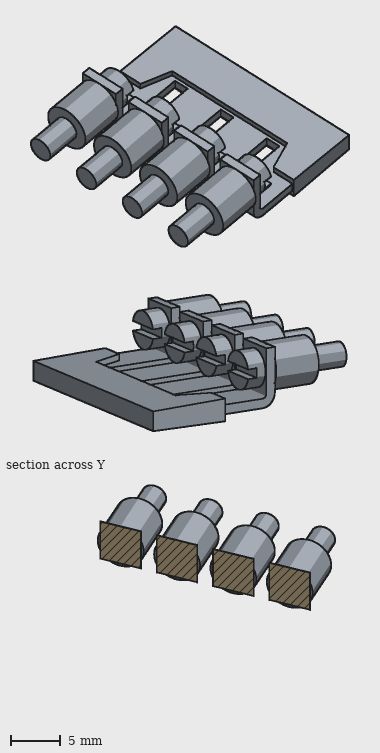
import cadquery as cq
import math

overall_width = 23.3
overall_length = 23.45
overall_height = 6.87

screw_count = 4
sleeve_diameter = 5.0
sleeve_length = 5.0
head_diameter = 4.0
head_length = 2.0
driver_slot_width = 1.0
driver_slot_depth = 1.0
pin_diameter = 2.6
pin_length = 4.0

sheet_thickness = 1.0
tab_width = 4.43
bend_inner_radius = 0.5
comb_gap_end = 5.4
comb_embedment = 2.35

housing_width = 23.1
housing_depth = 8.5
housing_front_thickness = 2.37
housing_draft = 1.0
notch_floor = 5.02
notch_floor_width = 15.3
notch_mouth_width = 17.7

pitch = (overall_width - sleeve_diameter) / (screw_count - 1)
screw_xs = [(i - (screw_count - 1) / 2) * pitch for i in range(screw_count)]
axis_z = overall_height - sleeve_diameter / 2
pin_tip_y = -overall_length
sleeve_front_y = pin_tip_y + pin_length
tab_front_y = sleeve_front_y + sleeve_length
tab_back_y = tab_front_y + sheet_thickness
head_back_y = tab_back_y + head_length
mid_z = housing_front_thickness / 2
sheet_bottom_z = mid_z - sheet_thickness / 2
sheet_top_z = mid_z + sheet_thickness / 2
sheet_back_y = comb_embedment - notch_floor


def make_housing():
    """Wedge-shaped housing with the notch cut through its front edge."""
    taper = housing_depth * math.tan(math.radians(housing_draft))
    wedge = (
        cq.Workplane("YZ")
        .moveTo(-housing_depth, 0)
        .lineTo(0, taper)
        .lineTo(0, housing_front_thickness - taper)
        .lineTo(-housing_depth, housing_front_thickness)
        .close()
        .extrude(housing_width / 2, both=True)
    )
    notch = (
        cq.Workplane("XY")
        .moveTo(-notch_mouth_width / 2, -housing_depth)
        .lineTo(-notch_floor_width / 2, -notch_floor)
        .lineTo(notch_floor_width / 2, -notch_floor)
        .lineTo(notch_mouth_width / 2, -housing_depth)
        .close()
        .extrude(housing_front_thickness)
    )
    return wedge.cut(notch)


def make_comb():
    """L-bent sheet, split into tabs by gaps that stop short of the housing."""
    comb_width = (screw_count - 1) * pitch + tab_width
    bend_outer_radius = bend_inner_radius + sheet_thickness
    bend_y = tab_front_y + bend_outer_radius
    bend_z = sheet_bottom_z + bend_outer_radius
    diagonal = math.sqrt(0.5)
    comb = (
        cq.Workplane("YZ")
        .moveTo(sheet_back_y, sheet_bottom_z)
        .lineTo(bend_y, sheet_bottom_z)
        .threePointArc(
            (bend_y - bend_outer_radius * diagonal, bend_z - bend_outer_radius * diagonal),
            (tab_front_y, bend_z),
        )
        .lineTo(tab_front_y, overall_height)
        .lineTo(tab_back_y, overall_height)
        .lineTo(tab_back_y, bend_z)
        .threePointArc(
            (bend_y - bend_inner_radius * diagonal, bend_z - bend_inner_radius * diagonal),
            (bend_y, sheet_top_z),
        )
        .lineTo(sheet_back_y, sheet_top_z)
        .close()
        .extrude(comb_width / 2, both=True)
    )
    gap_width = pitch - tab_width
    gap_length = -comb_gap_end - tab_front_y
    for left_x, right_x in zip(screw_xs, screw_xs[1:]):
        gap = (
            cq.Workplane("XY")
            .box(gap_width, gap_length, overall_height, centered=(True, False, False))
            .translate(((left_x + right_x) / 2, tab_front_y, 0))
        )
        comb = comb.cut(gap)
    return comb


def make_rod(x, front_y, back_y, diameter):
    """Round bar along Y on the screw axis."""
    return (
        cq.Workplane("XZ", origin=(x, back_y, axis_z))
        .circle(diameter / 2)
        .extrude(back_y - front_y)
    )


def make_screw(x):
    """Pin and sleeve in front of the tab, slotted head behind it."""
    pin = make_rod(x, pin_tip_y, sleeve_front_y, pin_diameter)
    sleeve = make_rod(x, sleeve_front_y, tab_front_y, sleeve_diameter)
    head = make_rod(x, tab_back_y, head_back_y, head_diameter)
    slot = (
        cq.Workplane("XY")
        .box(head_diameter, driver_slot_depth, driver_slot_width)
        .translate((x, head_back_y - driver_slot_depth / 2, axis_z))
    )
    return pin.union(sleeve).union(head.cut(slot))


result = make_housing().union(make_comb())
for screw_x in screw_xs:
    result = result.union(make_screw(screw_x))